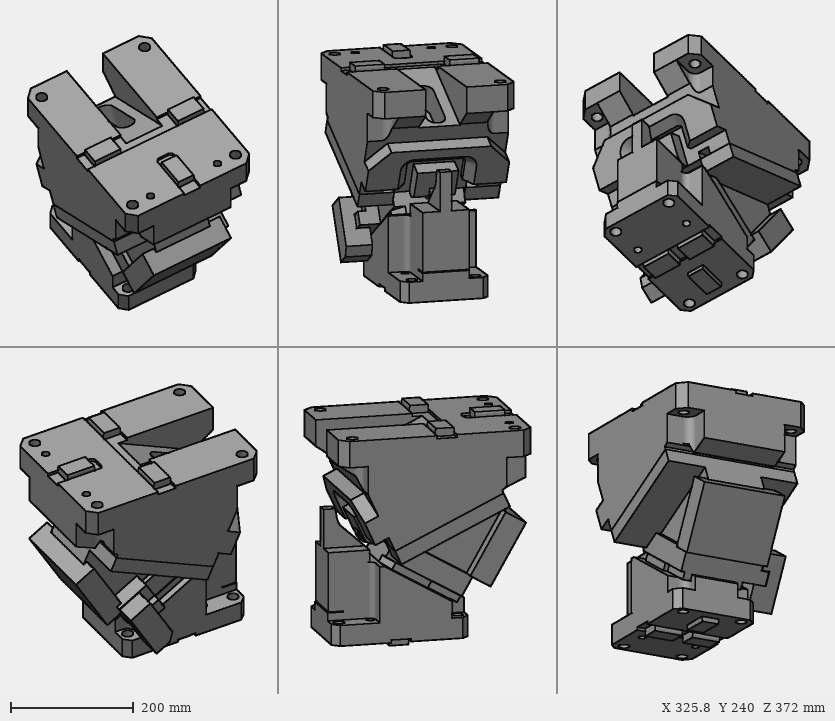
import cadquery as cq
import math


HOLDER_LENGTH = 325.0
HOLDER_WIDTH = 240.0
HOLDER_HALF = HOLDER_WIDTH / 2
PLATE_BOTTOM = 319.0
PLATE_TOP = 363.5
BASE_LENGTH = 230.5
BASE_HALF = 74.8
BASE_BOTTOM = 8.5
BASE_PLATE_TOP = 43.5
CLEAR = 148.8

GUIDE_ANGLE = 25.0
GUIDE_ORIGIN = (92.3, 174.0)
GUIDE_LENGTH = 202.5
SLOPE_ANGLE = 30.0
SLOPE_ORIGIN = (85.5, 138.5)
GUIDE_TAN = math.tan(math.radians(GUIDE_ANGLE))


def tilted_frame(origin, angle):
    """Frame in the XZ plane whose local x runs at `angle` to X, local y being the upward normal."""
    radians = math.radians(angle)
    return cq.Plane(
        origin=(origin[0], 0, origin[1]),
        xDir=(math.cos(radians), 0, math.sin(radians)),
        normal=(0, -1, 0),
    )


LEVEL = cq.Plane.XZ()
GUIDE = tilted_frame(GUIDE_ORIGIN, GUIDE_ANGLE)
SLOPE = tilted_frame(SLOPE_ORIGIN, -SLOPE_ANGLE)


def facing_plane(frame, x_dir, normal):
    """Workplane at a frame's origin with another x direction and normal."""
    return cq.Plane(origin=frame.origin.toTuple(), xDir=x_dir.toTuple(), normal=normal.toTuple())


def guide_point(along, above):
    """World X, Z of a point given along and above the guide plane."""
    world = GUIDE.toWorldCoords((along, above))
    return (world.x, world.z)


def end_face_x(level):
    """X of the holder's lower end face, square to the guide plane, at height `level`."""
    return GUIDE_ORIGIN[0] - (level - GUIDE_ORIGIN[1]) * GUIDE_TAN


def slab(frame, points, y_from, y_to):
    """Polygon drawn in a frame and spread in Y."""
    outline = cq.Workplane(frame).polyline(points).close()
    return outline.extrude(y_to - y_from).translate((0, y_to, 0))


def bar(frame, x_from, x_to, y_from, y_to, half_width):
    """Block centred on Y = 0, given by its local limits in a frame."""
    points = [(x_from, y_from), (x_to, y_from), (x_to, y_to), (x_from, y_to)]
    return slab(frame, points, -half_width, half_width)


def side_bar(frame, x_from, x_to, y_from, y_to, across_from, across_to):
    """Block on one side, given by its local limits in a frame and its Y limits."""
    points = [(x_from, y_from), (x_to, y_from), (x_to, y_to), (x_from, y_to)]
    return slab(frame, points, across_from, across_to)


def box(x_from, x_to, y_from, y_to, z_from, z_to):
    corner = cq.Workplane("XY", origin=(x_from, y_from, z_from))
    return corner.box(x_to - x_from, y_to - y_from, z_to - z_from, centered=False)


def upright_holes(points, diameter, z_from, z_to):
    holes = cq.Workplane("XY", origin=(0, 0, z_from)).pushPoints(points)
    return holes.circle(diameter / 2).extrude(z_to - z_from)


def union_all(parts):
    total = parts[0]
    for part in parts[1:]:
        total = total.union(part)
    return total


KEY_PROJECTION = 8.5
KEY_DEPTH = 5.0
KEY_BEVEL_HEIGHT = 3.7
KEY_BEVEL_WIDTH = 1.0
LONG_KEY_HALF = 15.5
BOLT_DIAMETER = 18.2
DOWEL_DIAMETER = 12.5


def key_profile(across_from, across_to, mount_level, outward):
    """Section of a key; outward is +1 on an upper face and -1 on a lower face."""
    inner = mount_level - outward * KEY_DEPTH
    outer = mount_level + outward * KEY_PROJECTION
    shoulder = outer - outward * KEY_BEVEL_HEIGHT
    return [
        (across_from, inner), (across_to, inner), (across_to, shoulder),
        (across_to - KEY_BEVEL_WIDTH, outer), (across_from + KEY_BEVEL_WIDTH, outer),
        (across_from, shoulder),
    ]


def cross_keys(x_limits, y_near, y_far, mount_level, outward):
    """Pair of keys lying along Y, one on each side."""
    profile = key_profile(*x_limits, mount_level, outward)
    return slab(LEVEL, profile, y_near, y_far).add(slab(LEVEL, profile, -y_far, -y_near)).combine()


def long_key(x_limits, mount_level, outward):
    """Central key lying along X."""
    profile = key_profile(-LONG_KEY_HALF, LONG_KEY_HALF, mount_level, outward)
    start = cq.Workplane("YZ", origin=(x_limits[0], 0, 0))
    return start.polyline(profile).close().extrude(x_limits[1] - x_limits[0])


HOLDER_CORNER = 15.3
WEB_LEFT = 46.5
WEB_RIGHT = 281.0
WEB_RIGHT_BOTTOM = 270.0
GUIDE_STEP = 5.5
LEFT_LUG_HALF = 80.7
LUG_TIP_LEVEL = 294.0
LUG_FILLET = 15.0
RIGHT_LUG_HALF = 74.8
RIGHT_LUG_TOE = (290.0, 257.0)
RIGHT_LUG_HEEL = (282.7, 273.0)
RIGHT_LUG_END_LEVEL = 272.3
CHANNEL_HALF = 35.0
CHANNEL_END = 180.0
SLOT_LENGTH = 100.8
SLOT_WIDTH = 31.5
SLOT_DEPTH = 48.5
SLOT_CENTRE = 98.0
HOLDER_CROSS_GROOVE = (163.3, 196.8)
HOLDER_CROSS_KEY = (164.0, 196.0)
HOLDER_CROSS_KEY_Y = (55.5, 105.3)
HOLDER_LONG_GROOVE_START = 239.0
HOLDER_LONG_GROOVE_RADIUS = 7.5
HOLDER_LONG_KEY = (255.2, 306.0)
HOLDER_BOLT_X = (25.3, 300.2)
HOLDER_BOLT_Y = 99.7
HOLDER_DOWEL_Y = 64.7
PAD_THICKNESS = 25.3
PAD_BOTTOM = 25.3
PAD_TOP = 102.0
PAD_CORNER = 35.0
POCKET_HALF = 64.7
POCKET_TOP = 84.0
POCKET_FLARE = 15.3
POCKET_RADIUS = 7.5
STOP_TOP = 55.8
STOP_NOSE = [(-PAD_THICKNESS, 12.0), (-16.5, 0.0), (0, 1.0)]
DISC_CENTRE = (-11.0, 12.5)
DISC_RADIUS = 17.5
DISC_HALF = 9.5
RELIEF_Y = (61.0, 80.7)
RELIEF_HEIGHT = 13.0
RELIEF_LENGTH = 29.8


def holder_plate():
    plate = box(0, HOLDER_LENGTH, -HOLDER_HALF, HOLDER_HALF, PLATE_BOTTOM, PLATE_TOP)
    return plate.edges("|Z").chamfer(HOLDER_CORNER)


def holder_web():
    """Full-width wedge from the plate down to the guide plane."""
    web_foot = GUIDE_ORIGIN[1] + (GUIDE_ORIGIN[0] - WEB_LEFT) / GUIDE_TAN
    points = [
        (WEB_LEFT, PLATE_BOTTOM), (WEB_LEFT, web_foot), GUIDE_ORIGIN, guide_point(GUIDE_LENGTH, 0),
        guide_point(GUIDE_LENGTH, GUIDE_STEP), (WEB_RIGHT, WEB_RIGHT_BOTTOM), (WEB_RIGHT, PLATE_BOTTOM),
    ]
    return slab(LEVEL, points, -HOLDER_HALF, HOLDER_HALF)


def web_lug(profile, half_width, wall, outward, radius):
    """Lug of a given XZ profile on a web wall, narrowed to half_width with filleted roots."""
    end = wall + outward * CLEAR
    plan = (
        cq.Workplane("XY")
        .moveTo(wall, -half_width - radius)
        .radiusArc((wall + outward * radius, -half_width), outward * radius)
        .lineTo(end, -half_width).lineTo(end, half_width).lineTo(wall + outward * radius, half_width)
        .radiusArc((wall, half_width + radius), outward * radius)
        .lineTo(wall - outward * radius, half_width + radius)
        .lineTo(wall - outward * radius, -half_width - radius)
        .close().extrude(PLATE_TOP)
    )
    return plan.intersect(slab(LEVEL, profile, -HOLDER_HALF, HOLDER_HALF))


def left_lug():
    """Lug under the -X end of the plate, cut back to the lower end face."""
    inside = WEB_LEFT + LUG_FILLET
    foot_level = GUIDE_ORIGIN[1] + (GUIDE_ORIGIN[0] - inside) / GUIDE_TAN
    profile = [(inside, PLATE_BOTTOM), (0, PLATE_BOTTOM), (end_face_x(LUG_TIP_LEVEL), LUG_TIP_LEVEL),
               (inside, foot_level)]
    return web_lug(profile, LEFT_LUG_HALF, WEB_LEFT, -1, LUG_FILLET)


def right_lug():
    """Lug under the +X end of the plate, reaching below the web."""
    profile = [(WEB_RIGHT, PLATE_BOTTOM), (WEB_RIGHT, RIGHT_LUG_HEEL[1]), RIGHT_LUG_HEEL, RIGHT_LUG_TOE,
               (HOLDER_LENGTH, RIGHT_LUG_END_LEVEL), (HOLDER_LENGTH, PLATE_BOTTOM)]
    return web_lug(profile, RIGHT_LUG_HALF, WEB_RIGHT, 1, LUG_FILLET)


def stop_pad():
    """Pad on the lower end face: bevelled upper corners and a flared pocket open at the bottom."""
    end_face = cq.Workplane(facing_plane(GUIDE, cq.Vector(0, -1, 0), -GUIDE.xDir))
    shoulder_y = HOLDER_HALF - PAD_CORNER
    shoulder = PAD_TOP - PAD_CORNER
    outline = [
        (-HOLDER_HALF, PAD_BOTTOM), (HOLDER_HALF, PAD_BOTTOM), (HOLDER_HALF, shoulder),
        (shoulder_y, PAD_TOP), (-shoulder_y, PAD_TOP), (-HOLDER_HALF, shoulder),
    ]
    pad = end_face.polyline(outline).close().extrude(PAD_THICKNESS)
    floor = (
        cq.Sketch().rect(2 * (POCKET_HALF - POCKET_FLARE), 2 * (POCKET_TOP - POCKET_FLARE))
        .vertices().fillet(POCKET_RADIUS)
    )
    straight = end_face.placeSketch(floor).extrude(PAD_THICKNESS)
    flare_start = end_face.workplane(offset=PAD_THICKNESS - POCKET_FLARE)
    flare = flare_start.placeSketch(floor).extrude(POCKET_FLARE, taper=-45)
    return pad.cut(straight).cut(flare)


def stop_lug():
    """Round-nosed lug in the pad's pocket with a fuller disc in its middle."""
    nose = (
        cq.Workplane(GUIDE).moveTo(0, STOP_TOP).lineTo(-PAD_THICKNESS, STOP_TOP).lineTo(*STOP_NOSE[0])
        .threePointArc(STOP_NOSE[1], STOP_NOSE[2]).close().extrude(CHANNEL_HALF, both=True)
    )
    disc = cq.Workplane(GUIDE).center(*DISC_CENTRE).circle(DISC_RADIUS).extrude(DISC_HALF, both=True)
    behind_face = bar(GUIDE, 0, CLEAR, -CLEAR, CLEAR, CLEAR)
    return nose.union(disc.cut(behind_face))


def channel():
    """Open channel at the -X end; its floor is parallel to the guide plane."""
    floor_top = PLATE_TOP - KEY_DEPTH
    low_x = -LUG_FILLET
    floor_low = floor_top - (CHANNEL_END - low_x) * GUIDE_TAN
    points = [(CHANNEL_END, floor_top), (CHANNEL_END, PLATE_TOP), (low_x, PLATE_TOP), (low_x, floor_low)]
    return slab(LEVEL, points, -CHANNEL_HALF, CHANNEL_HALF)


def channel_slot():
    """Blind slot square to the channel floor."""
    floor = tilted_frame((CHANNEL_END, PLATE_TOP - KEY_DEPTH), GUIDE_ANGLE)
    slot = cq.Workplane(facing_plane(floor, floor.xDir, floor.yDir)).center(-SLOT_CENTRE, 0)
    return slot.slot2D(SLOT_LENGTH, SLOT_WIDTH).extrude(-SLOT_DEPTH)


def guide_relief(side):
    across = sorted((side * RELIEF_Y[0], side * RELIEF_Y[1]))
    return side_bar(GUIDE, 0, RELIEF_LENGTH, 0, RELIEF_HEIGHT, *across)


def holder_grooves():
    floor = PLATE_TOP - KEY_DEPTH
    cross = box(*HOLDER_CROSS_GROOVE, -HOLDER_HALF, HOLDER_HALF, floor, PLATE_TOP)
    lengthwise = box(HOLDER_LONG_GROOVE_START, HOLDER_LENGTH, -LONG_KEY_HALF, LONG_KEY_HALF, floor, PLATE_TOP)
    return cross.union(lengthwise.edges("|Z and <X").fillet(HOLDER_LONG_GROOVE_RADIUS))


def holder_holes():
    bolts = [(x, y) for x in HOLDER_BOLT_X for y in (-HOLDER_BOLT_Y, HOLDER_BOLT_Y)]
    dowels = [(HOLDER_BOLT_X[1], y) for y in (-HOLDER_DOWEL_Y, HOLDER_DOWEL_Y)]
    bolt_holes = upright_holes(bolts, BOLT_DIAMETER, PLATE_BOTTOM, PLATE_TOP)
    return bolt_holes.union(upright_holes(dowels, DOWEL_DIAMETER, PLATE_BOTTOM, PLATE_TOP))


def make_holder():
    holder = union_all([holder_plate(), holder_web(), left_lug(), right_lug()])
    holder = holder.cut(channel()).cut(channel_slot())
    holder = union_all([holder, stop_pad(), stop_lug()])
    for side in (-1, 1):
        holder = holder.cut(guide_relief(side))
    holder = holder.cut(holder_grooves()).cut(holder_holes())
    holder = holder.union(cross_keys(HOLDER_CROSS_KEY, *HOLDER_CROSS_KEY_Y, PLATE_TOP, 1))
    return holder.union(long_key(HOLDER_LONG_KEY, PLATE_TOP, 1))


GUIDE_PLATE_THICKNESS = 25.3
SLIDER_LENGTH = 148.8
BODY_HALF = 60.5
SHOE_HEIGHT = 13.0
SHOE_HALF = 61.8
SHOE_CORNER = 19.7
SHOE_STEP = 89.3
SHOE_TAIL_HALF = 54.0
BODY_TOP = 50.2
WEDGE_HALF = 52.0
BLOCK_START = 139.5
BLOCK_END = 179.3
BLOCK_TOP = 170.0
FLANGE_START = SHOE_STEP
FLANGE_TOP = 67.5
FLANGE_Y = 82.5
FOOT_TOP = 37.0
FOOT_Y = 96.0


def guide_plate():
    """Full-width plate under the holder, notched at its lower end around the slider body."""
    plate = bar(GUIDE, 0, GUIDE_LENGTH, -GUIDE_PLATE_THICKNESS, 0, HOLDER_HALF)
    return plate.cut(bar(SLOPE, -CLEAR, 0, -CLEAR, CLEAR, BODY_HALF))


def slider_wedge():
    under_guide = bar(GUIDE, -CLEAR, GUIDE_LENGTH, -2 * CLEAR, 0, HOLDER_HALF)
    body = bar(SLOPE, 0, SLIDER_LENGTH, SHOE_HEIGHT, BODY_TOP, BODY_HALF)
    wedge = bar(SLOPE, 0, SLIDER_LENGTH, BODY_TOP, 2 * CLEAR, WEDGE_HALF)
    return body.union(wedge).intersect(under_guide)


def slider_shoe():
    plan = cq.Workplane(facing_plane(SLOPE, SLOPE.xDir, SLOPE.yDir))
    outline = [
        (0, -SHOE_HALF + SHOE_CORNER), (SHOE_CORNER, -SHOE_HALF), (SHOE_STEP, -SHOE_HALF),
        (SHOE_STEP, -SHOE_TAIL_HALF), (SLIDER_LENGTH, -SHOE_TAIL_HALF), (SLIDER_LENGTH, SHOE_TAIL_HALF),
        (SHOE_STEP, SHOE_TAIL_HALF), (SHOE_STEP, SHOE_HALF), (SHOE_CORNER, SHOE_HALF),
        (0, SHOE_HALF - SHOE_CORNER),
    ]
    return plan.polyline(outline).close().extrude(SHOE_HEIGHT)


def return_flange():
    """L-shaped flange on the +Y side; its foot is caught by the base's hook."""
    inner = WEDGE_HALF
    web = side_bar(SLOPE, FLANGE_START, SLIDER_LENGTH, SHOE_HEIGHT, FLANGE_TOP, inner, FLANGE_Y)
    foot = side_bar(SLOPE, FLANGE_START, SLIDER_LENGTH, SHOE_HEIGHT, FOOT_TOP, inner, FOOT_Y)
    return web.union(foot)


def make_slider():
    end_block = bar(SLOPE, BLOCK_START, BLOCK_END, BODY_TOP, BLOCK_TOP, BASE_HALF)
    return union_all([guide_plate(), slider_wedge(), slider_shoe(), end_block, return_flange()])


BASE_CORNER = 12.0
WEB_START = 78.5
WEB_END = 201.0
WEB_TOP = 138.0
CORE_HALF = 39.8
CORE_FILLET = 10.0
NOSE_FACE = 1.0
NOSE_END = 70.5
NOSE_TOP = 158.0
SLIT_BOTTOM = 57.0
SLIT_TOP = 58.5
SLIT_LENGTH = 26.0
RIB_HALF = 9.5
RIB_TOP = 223.5
RIB_TOP_END = 18.5
RIB_ROUND = 3.0
TAIL_FILLET = 15.0
TAIL_RISE = 11.0
HOOK_START = 106.0
HOOK_TOP = 67.5
HOOK_BOTTOM = -30.5
HOOK_BEVEL = 13.8
HOOK_OUTER_Y = 119.5
HOOK_GAP = 1.0
BASE_CROSS_GROOVE = (98.2, 131.7)
BASE_CROSS_KEY_Y = (9.5, 60.0)
BASE_LONG_KEY = (159.5, 209.8)
BASE_BOLT_X = (15.3, 215.5)
BASE_BOLT_Y = 54.0
BASE_DOWEL = (69.2, 49.5)


def base_plate():
    plate = box(0, BASE_LENGTH, -BASE_HALF, BASE_HALF, BASE_BOTTOM, BASE_PLATE_TOP)
    plate = plate.edges("|Z").chamfer(BASE_CORNER)
    groove = box(*BASE_CROSS_GROOVE, -BASE_HALF, BASE_HALF, BASE_BOTTOM, BASE_BOTTOM + KEY_DEPTH)
    bolts = [(x, y) for x in BASE_BOLT_X for y in (-BASE_BOLT_Y, BASE_BOLT_Y)]
    dowels = [(BASE_DOWEL[0], y) for y in (-BASE_DOWEL[1], BASE_DOWEL[1])]
    plate = plate.cut(groove).cut(upright_holes(bolts, BOLT_DIAMETER, BASE_BOTTOM, BASE_PLATE_TOP))
    return plate.cut(upright_holes(dowels, DOWEL_DIAMETER, BASE_BOTTOM, BASE_PLATE_TOP))


def base_core():
    """Web, nose and tail standing on the plate, with filleted inner corners."""
    web = box(WEB_START, WEB_END, -BASE_HALF, BASE_HALF, BASE_PLATE_TOP, WEB_TOP)
    middle = box(0, BASE_LENGTH, -CORE_HALF, CORE_HALF, BASE_PLATE_TOP, WEB_TOP)
    core = web.union(middle)
    middle_level = (BASE_PLATE_TOP + WEB_TOP) / 2
    for wall, radius in ((WEB_START, CORE_FILLET), (WEB_END, TAIL_FILLET)):
        for side in (-1, 1):
            corner = cq.selectors.NearestToPointSelector((wall, side * CORE_HALF, middle_level))
            core = core.edges("|Z").edges(corner).fillet(radius)
    over_slope = bar(SLOPE, -BASE_CORNER, SLIDER_LENGTH, 0, CLEAR, CLEAR)
    over_tail = bar(SLOPE, SLIDER_LENGTH, 2 * CLEAR, TAIL_RISE, CLEAR, CLEAR)
    core = core.cut(over_slope).cut(over_tail)
    core = core.union(box(0, NOSE_END, -CORE_HALF, CORE_HALF, BASE_PLATE_TOP, NOSE_TOP))
    set_back = box(0, NOSE_FACE, -CORE_HALF, CORE_HALF, SLIT_TOP, NOSE_TOP)
    slit = box(0, SLIT_LENGTH, -CORE_HALF, CORE_HALF, SLIT_BOTTOM, SLIT_TOP)
    return core.cut(set_back).cut(slit)


def nose_rib():
    """Thin curved rib on top of the nose block."""
    return (
        cq.Workplane(LEVEL)
        .moveTo(NOSE_FACE, NOSE_TOP).lineTo(NOSE_FACE, RIB_TOP).lineTo(RIB_TOP_END, RIB_TOP)
        .radiusArc((RIB_TOP_END + RIB_ROUND, RIB_TOP - RIB_ROUND), RIB_ROUND).lineTo(23.0, 212.8)
        .threePointArc((25.3, 202.7), (31.0, 193.5)).lineTo(NOSE_END, NOSE_TOP)
        .close().extrude(RIB_HALF, both=True)
    )


def return_hook():
    """C-shaped hook on the +Y side that holds the slider's flange down."""
    outline = [
        (HOOK_START, HOOK_TOP), (SLIDER_LENGTH, HOOK_TOP), (SLIDER_LENGTH, HOOK_BOTTOM),
        (HOOK_START + HOOK_BEVEL, HOOK_BOTTOM), (HOOK_START, HOOK_BOTTOM + HOOK_BEVEL),
    ]
    hook = slab(SLOPE, outline, BASE_HALF, HOOK_OUTER_Y)
    length = (HOOK_START, SLIDER_LENGTH)
    throat = side_bar(SLOPE, *length, SHOE_HEIGHT, HOOK_TOP, BASE_HALF, FLANGE_Y + HOOK_GAP)
    cavity = side_bar(SLOPE, *length, SHOE_HEIGHT, FOOT_TOP + HOOK_GAP, BASE_HALF, FOOT_Y + HOOK_GAP)
    return hook.cut(throat).cut(cavity)


def make_base():
    return union_all([
        base_plate(), base_core(), nose_rib(), return_hook(),
        cross_keys(BASE_CROSS_GROOVE, *BASE_CROSS_KEY_Y, BASE_BOTTOM, -1),
        long_key(BASE_LONG_KEY, BASE_BOTTOM, -1),
    ])


holder = make_holder()
slider = make_slider()
base = make_base()
result = cq.Compound.makeCompound([holder.val(), slider.val(), base.val()])